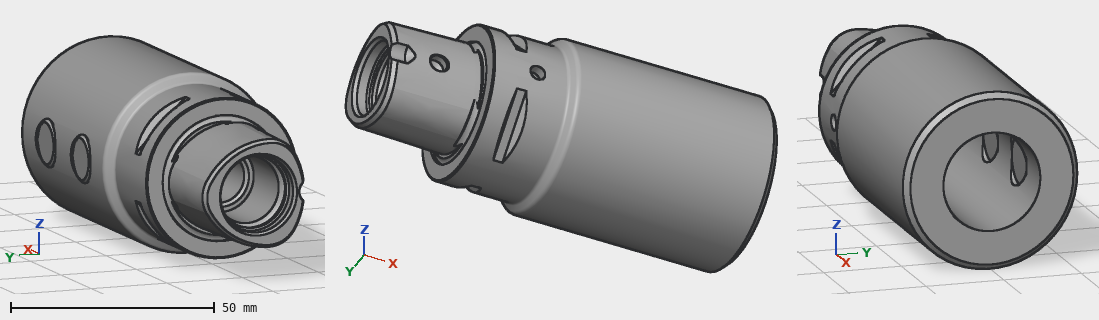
import cadquery as cq
import math

shank_length = 24.0
total_length = 101.0
tip_x = -shank_length
body_end_x = total_length - shank_length

flange_diameter = 40.0
flange_length = 20.0
flange_edge_chamfer = 0.3
body_diameter = 45.0
shoulder_root_radius = 1.0
shoulder_rim_radius = 1.4
shoulder_angle = 30.0
body_end_chamfer = 1.5

shank_width = 28.0
lobe_offset = 6.4
lobe_radius = (shank_width - math.sqrt(3) * lobe_offset) / 2
taper_end_x = -1.6
taper_slope = 1 / 40
tip_chamfer_length = 1.3
tip_chamfer_angle = 30.0

neck_diameter = 27.6
undercut_diameter = 31.4
undercut_depth = 0.8
undercut_start_x = -1.3
undercut_ramp_angle = 30.0

mouth_diameter = 20.4
entry_diameter = 19.2
entry_cone_depth = 1.1
entry_depth = 3.65
clamp_bore_diameter = 18.0
clamp_bore_start = 4.15
clamp_groove_diameter = 19.0
clamp_groove_start = 4.9
clamp_bore_depth = 6.7
inner_bore_diameter = 16.8
inner_bore_start = 7.6
inner_bore_depth = shank_length
channel_diameter = 12.5
channel_chamfer = 0.9
tool_bore_diameter = 25.0
tool_bore_depth = 59.0

cut_clearance = 1.0

groove_x = 8.0
groove_floor_width = 2.5
groove_floor_radius = 17.7
groove_wall_angle = 30.0
groove_angles = [45, 135, 225, 315]

drill_point_angle = 118.0
flange_hole_diameter = 4.0
flange_hole_x = 12.0
flange_hole_depth = 3.0
shank_hole_diameter = 4.6
shank_hole_mouth_diameter = 5.2
shank_hole_x = tip_x + 12.5
shank_hole_depth = 2.5
notch_diameter = 6.0
notch_length = 4.1
notch_offset = 13.8
notch_point_angle = 90.0

screw_diameter = 12.0
screw_end_diameter = 10.4
screw_hole_mouth_diameter = 13.0
screw_spacing = 23.0
outer_screw_setback = 17.0
outer_screw_x = body_end_x - outer_screw_setback
screw_positions = [outer_screw_x - screw_spacing, outer_screw_x]


def lobed_wire(x, offset):
    """Constant-width outline of six tangent arcs, moved inwards by offset, in the plane at x."""
    small = lobe_radius - offset
    large = shank_width - lobe_radius - offset

    def point(lobe_angle, radius, normal_angle):
        lobe = math.radians(lobe_angle)
        normal = math.radians(normal_angle)
        y = lobe_offset * math.cos(lobe) + radius * math.cos(normal)
        z = lobe_offset * math.sin(lobe) + radius * math.sin(normal)
        return cq.Vector(x, y, z)

    edges = []
    for lobe_angle in (0, 120, 240):
        lobe_arc = [point(lobe_angle, small, lobe_angle + turn) for turn in (-30, 0, 30)]
        opposite = lobe_angle + 240
        flank_arc = [point(opposite, large, lobe_angle + turn) for turn in (30, 60, 90)]
        edges.append(cq.Edge.makeThreePointArc(*lobe_arc))
        edges.append(cq.Edge.makeThreePointArc(*flank_arc))
    return cq.Wire.assembleEdges(edges)


def make_shank():
    chamfer_x = tip_x + tip_chamfer_length
    chamfer_offset = taper_slope * (taper_end_x - chamfer_x)
    tip_offset = chamfer_offset + tip_chamfer_length * math.tan(math.radians(tip_chamfer_angle))
    stations = [(tip_x, tip_offset), (chamfer_x, chamfer_offset), (taper_end_x, 0), (flange_length / 2, 0)]
    wires = [lobed_wire(x, offset) for x, offset in stations]
    return cq.Workplane(cq.Solid.makeLoft(wires, True))


def revolve_about_x(profile):
    return profile.close().revolve(360, (0, 0, 0), (1, 0, 0))


def make_flange_and_body():
    flange_radius = flange_diameter / 2
    body_radius = body_diameter / 2
    shoulder_run = (body_radius - flange_radius) * math.tan(math.radians(shoulder_angle))
    turn = math.radians(90 - shoulder_angle)
    root_tangent = shoulder_root_radius * math.tan(turn / 2)
    rim_tangent = shoulder_rim_radius * math.tan(turn / 2)
    foot_x = flange_length + root_tangent
    top_x = foot_x + shoulder_run

    def on_root(angle):
        return (
            flange_length + shoulder_root_radius * math.sin(angle),
            flange_radius + shoulder_root_radius * (1 - math.cos(angle)),
        )

    def on_rim(angle):
        return (
            top_x + rim_tangent - shoulder_rim_radius * math.sin(angle),
            body_radius - shoulder_rim_radius * (1 - math.cos(angle)),
        )

    profile = (
        cq.Workplane("XY")
        .lineTo(0, flange_radius - flange_edge_chamfer)
        .lineTo(flange_edge_chamfer, flange_radius)
        .lineTo(flange_length, flange_radius)
        .threePointArc(on_root(turn / 2), on_root(turn))
        .lineTo(*on_rim(turn))
        .threePointArc(on_rim(turn / 2), on_rim(0))
        .lineTo(body_end_x - body_end_chamfer, body_radius)
        .lineTo(body_end_x, body_radius - body_end_chamfer)
        .lineTo(body_end_x, 0)
    )
    return revolve_about_x(profile)


def make_undercut():
    """Ring that trims the lobes to a round neck and sinks a filleted groove into the contact face."""
    neck_radius = neck_diameter / 2
    outer_radius = undercut_diameter / 2
    fillet = outer_radius - neck_radius
    diagonal = fillet * (1 - math.sqrt(0.5))
    ramp_length = fillet * math.tan(math.radians(undercut_ramp_angle))
    profile = (
        cq.Workplane("XY")
        .moveTo(undercut_start_x - ramp_length, outer_radius)
        .lineTo(undercut_start_x, neck_radius)
        .lineTo(undercut_depth - fillet, neck_radius)
        .threePointArc((undercut_depth - diagonal, neck_radius + diagonal), (undercut_depth, outer_radius))
    )
    return revolve_about_x(profile)


def make_axial_bores():
    groove_height = (clamp_groove_diameter - clamp_bore_diameter) / 2
    ledge_x = tip_x + inner_bore_depth
    channel_radius = channel_diameter / 2
    tool_bore_start = body_end_x - tool_bore_depth
    profile = (
        cq.Workplane("XY")
        .moveTo(tip_x, 0)
        .lineTo(tip_x, mouth_diameter / 2)
        .lineTo(tip_x + entry_cone_depth, entry_diameter / 2)
        .lineTo(tip_x + entry_depth, entry_diameter / 2)
        .lineTo(tip_x + clamp_bore_start, clamp_bore_diameter / 2)
        .lineTo(tip_x + clamp_groove_start, clamp_bore_diameter / 2)
        .lineTo(tip_x + clamp_groove_start, clamp_groove_diameter / 2)
        .lineTo(tip_x + clamp_bore_depth - groove_height, clamp_groove_diameter / 2)
        .lineTo(tip_x + clamp_bore_depth, clamp_bore_diameter / 2)
        .lineTo(tip_x + inner_bore_start, inner_bore_diameter / 2)
        .lineTo(ledge_x, inner_bore_diameter / 2)
        .lineTo(ledge_x, channel_radius + channel_chamfer)
        .lineTo(ledge_x + channel_chamfer, channel_radius)
        .lineTo(tool_bore_start, channel_radius)
        .lineTo(tool_bore_start, tool_bore_diameter / 2)
        .lineTo(body_end_x, tool_bore_diameter / 2)
        .lineTo(body_end_x, 0)
    )
    return revolve_about_x(profile)


def make_gripper_groove(angle):
    """Straight groove with sloping walls, cut across the flange rim at the given angle about X."""
    top = flange_diameter / 2 + cut_clearance
    half_floor = groove_floor_width / 2
    half_top = half_floor + (top - groove_floor_radius) * math.tan(math.radians(groove_wall_angle))
    groove = (
        cq.Workplane("XZ")
        .moveTo(groove_x - half_floor, groove_floor_radius)
        .lineTo(groove_x + half_floor, groove_floor_radius)
        .lineTo(groove_x + half_top, top)
        .lineTo(groove_x - half_top, top)
        .close()
        .extrude(flange_diameter / 2, both=True)
    )
    return groove.rotate((0, 0, 0), (1, 0, 0), angle)


def point_length(diameter, point_angle):
    return diameter / 2 / math.tan(math.radians(point_angle / 2))


def make_radial_hole(x, diameter, surface_radius, depth):
    """Blind drilled hole with a conical floor, entering from the -Y side."""
    radius = diameter / 2
    start_y = -surface_radius - cut_clearance
    floor_y = depth - surface_radius
    profile = (
        cq.Workplane("XY")
        .moveTo(x, start_y)
        .lineTo(x + radius, start_y)
        .lineTo(x + radius, floor_y)
        .lineTo(x, floor_y + point_length(diameter, drill_point_angle))
        .close()
    )
    return profile.revolve(360, (x, 0, 0), (x, 1, 0))


def make_radial_countersink(x, mouth_diameter, surface_radius):
    """45 degree cone that has the mouth diameter at the surface on the -Y side."""
    height = mouth_diameter / 2
    profile = (
        cq.Workplane("XY")
        .moveTo(x, height - surface_radius)
        .lineTo(x, -surface_radius - cut_clearance)
        .lineTo(x + height + cut_clearance, -surface_radius - cut_clearance)
        .close()
    )
    return profile.revolve(360, (x, 0, 0), (x, 1, 0))


def make_tip_notch():
    radius = notch_diameter / 2
    floor_x = tip_x + notch_length
    profile = (
        cq.Workplane("XY")
        .moveTo(tip_x, -notch_offset)
        .lineTo(tip_x, radius - notch_offset)
        .lineTo(floor_x, radius - notch_offset)
        .lineTo(floor_x + point_length(notch_diameter, notch_point_angle), -notch_offset)
        .close()
    )
    return profile.revolve(360, (0, -notch_offset, 0), (1, -notch_offset, 0))


def make_screw(x):
    """Set screw from the tool bore to the body surface, with a chamfered outer end."""
    bottom_y = tool_bore_diameter / 2
    top_y = body_diameter / 2
    radius = screw_diameter / 2
    end_radius = screw_end_diameter / 2
    profile = (
        cq.Workplane("XY")
        .moveTo(x, bottom_y)
        .lineTo(x + radius, bottom_y)
        .lineTo(x + radius, top_y - (radius - end_radius))
        .lineTo(x + end_radius, top_y)
        .lineTo(x, top_y)
        .close()
    )
    return profile.revolve(360, (x, 0, 0), (x, 1, 0))


def make_screw_hole(x):
    """Radial hole for a screw, opening with a 45 degree cone at the body surface."""
    radius = screw_diameter / 2
    surface_y = body_diameter / 2
    mouth_radius = screw_hole_mouth_diameter / 2
    profile = (
        cq.Workplane("XY")
        .moveTo(x, 0)
        .lineTo(x + radius, 0)
        .lineTo(x + radius, surface_y - (mouth_radius - radius))
        .lineTo(x + mouth_radius, surface_y)
        .lineTo(x, surface_y)
        .close()
    )
    return profile.revolve(360, (x, 0, 0), (x, 1, 0))


def make_holder():
    holder = make_shank().union(make_flange_and_body())
    holder = holder.cut(make_undercut()).cut(make_axial_bores())
    for angle in groove_angles:
        holder = holder.cut(make_gripper_groove(angle))
    holder = holder.cut(
        make_radial_hole(flange_hole_x, flange_hole_diameter, flange_diameter / 2, flange_hole_depth)
    )
    flank_radius = shank_width - lobe_radius - lobe_offset - taper_slope * (taper_end_x - shank_hole_x)
    holder = holder.cut(make_radial_hole(shank_hole_x, shank_hole_diameter, flank_radius, shank_hole_depth))
    holder = holder.cut(make_radial_countersink(shank_hole_x, shank_hole_mouth_diameter, flank_radius))
    holder = holder.cut(make_tip_notch())
    for x in screw_positions:
        holder = holder.cut(make_screw_hole(x))
    return holder


holder = make_holder()
screws = [make_screw(x) for x in screw_positions]

result = cq.Compound.makeCompound([holder.solids().val(), *[screw.val() for screw in screws]])